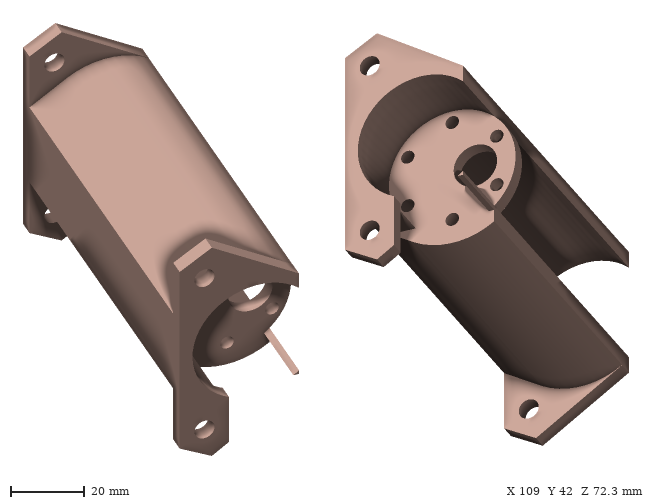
import cadquery as cq
import math

length = 109.0
depth = 35.5
height = 72.3
flange_thickness = 4.5

axis_y = 22.9
bore_radius = 19.1
body_radius = 23.0
back_half_height = 13.0
flat_end_angle = 120.0

flange_back_half_height = 30.6
flange_peak_y = 9.6
flange_lip_half_height = 19.3
mount_hole_diameter = 6.0
mount_hole_y = 7.4
mount_hole_z = 26.3

disc_end_x = 88.5
disc_thickness = 4.3
shaft_hole_diameter = 13.1
shaft_offset = 7.0
bolt_hole_diameter = 4.0
bolt_circle_radius = 15.5
bolt_count = 6

window_top_z = -15.6

relief_start_y = 14.7


def section(x):
    """Sketch plane across the tube: local x is Y, local y is Z."""
    return cq.Workplane("YZ", origin=(x, 0, 0))


def make_body():
    angle = math.radians(flat_end_angle)
    flat_y = axis_y + body_radius * math.cos(angle)
    flat_z = body_radius * math.sin(angle)
    lip_z = math.sqrt(body_radius**2 - (depth - axis_y)**2)
    return (
        section(0)
        .moveTo(0, -back_half_height)
        .lineTo(flat_y, -flat_z)
        .threePointArc((axis_y, -body_radius), (depth, -lip_z))
        .lineTo(depth, lip_z)
        .threePointArc((axis_y, body_radius), (flat_y, flat_z))
        .lineTo(0, back_half_height)
        .close()
        .extrude(length)
    )


def make_window():
    window_length = length - flange_thickness - disc_end_x
    return cq.Workplane("XY", origin=(disc_end_x, 0, window_top_z)).rect(
        window_length, depth, centered=False
    ).extrude(-body_radius)


def make_flange_relief():
    return cq.Workplane("XY", origin=(length - flange_thickness, relief_start_y, window_top_z)).rect(
        flange_thickness, depth - relief_start_y, centered=False
    ).extrude(-height / 2)


def make_flange(x):
    upper = [
        (depth, flange_lip_half_height),
        (flange_peak_y, height / 2),
        (0, flange_back_half_height),
    ]
    lower = [(y, -z) for y, z in reversed(upper)]
    plate = section(x).polyline(upper + lower).close().extrude(flange_thickness)
    holes = (
        section(x)
        .pushPoints([(mount_hole_y, mount_hole_z), (mount_hole_y, -mount_hole_z)])
        .circle(mount_hole_diameter / 2)
        .extrude(flange_thickness)
    )
    return plate.cut(holes)


def make_disc():
    start_x = disc_end_x - disc_thickness
    disc = section(start_x).center(axis_y, 0).circle(bore_radius).extrude(disc_thickness)
    shaft_hole = (
        section(start_x)
        .center(axis_y + shaft_offset, 0)
        .circle(shaft_hole_diameter / 2)
        .extrude(disc_thickness)
    )
    bolt_holes = (
        section(start_x)
        .center(axis_y, 0)
        .polarArray(bolt_circle_radius, 90, 360, bolt_count)
        .circle(bolt_hole_diameter / 2)
        .extrude(disc_thickness)
    )
    return disc.cut(shaft_hole).cut(bolt_holes)


bore = section(0).center(axis_y, 0).circle(bore_radius).extrude(length)

shell = make_body().cut(make_window())
for flange_x in (0, length - flange_thickness):
    shell = shell.union(make_flange(flange_x))

result = shell.cut(bore).cut(make_flange_relief()).union(make_disc())